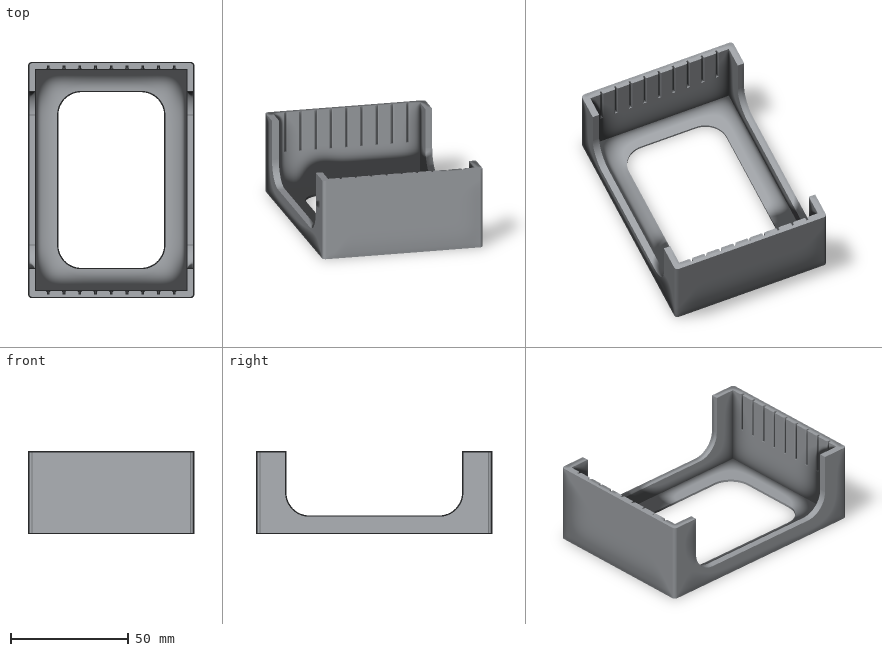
import cadquery as cq

length_x = 70.62
length_y = 100.5
height = 35.0
wall = 3.0
floor_thickness = 1.0
outer_corner_radius = 1.5

opening_margin = 12.5
opening_length_y = length_y - 2 * opening_margin
opening_radius = 10.0
floor_opening_x = length_x - 2 * opening_margin
side_sill_height = 7.5

slot_count = 9
slot_pitch = 6.73
slot_width = 0.8
slot_mouth_chamfer = 0.4
slot_depth = 1.5
slot_length = 17.5

inner_x = length_x - 2 * wall
inner_y = length_y - 2 * wall


def make_tray():
    """Open-topped box with rounded outer vertical corners."""
    outer = cq.Workplane("XY").box(length_x, length_y, height, centered=(True, True, False))
    outer = outer.edges("|Z").fillet(outer_corner_radius)
    cavity = (
        cq.Workplane("XY", origin=(0, 0, floor_thickness))
        .box(inner_x, inner_y, height, centered=(True, True, False))
    )
    return outer.cut(cavity)


def make_floor_opening():
    """Rounded rectangle passing through the floor."""
    opening = cq.Workplane("XY").box(floor_opening_x, opening_length_y, height)
    return opening.edges("|Z").fillet(opening_radius)


def make_side_cutout():
    """U-shaped notch, open at the top, passing through both side walls."""
    notch = (
        cq.Workplane("XY", origin=(0, 0, side_sill_height))
        .box(length_x, opening_length_y, height, centered=(True, True, False))
    )
    return notch.edges("|X and <Z").fillet(opening_radius)


def make_slot(x, wall_side):
    """One slot, open at the top; wall_side is +1 for the +Y end wall and -1 for the -Y one."""
    half_slot = slot_width / 2
    half_mouth = half_slot + slot_mouth_chamfer
    mouth_y = inner_y / 2
    throat_y = mouth_y + slot_mouth_chamfer
    bottom_y = mouth_y + slot_depth
    profile = [
        (x - half_mouth, wall_side * mouth_y),
        (x - half_slot, wall_side * throat_y),
        (x - half_slot, wall_side * bottom_y),
        (x + half_slot, wall_side * bottom_y),
        (x + half_slot, wall_side * throat_y),
        (x + half_mouth, wall_side * mouth_y),
    ]
    slot_base = cq.Workplane("XY", origin=(0, 0, height - slot_length))
    return slot_base.polyline(profile).close().extrude(slot_length)


result = make_tray().cut(make_floor_opening()).cut(make_side_cutout())
first_slot_x = -slot_pitch * (slot_count - 1) / 2
for slot_index in range(slot_count):
    slot_x = first_slot_x + slot_index * slot_pitch
    for wall_side in (-1, 1):
        result = result.cut(make_slot(slot_x, wall_side))